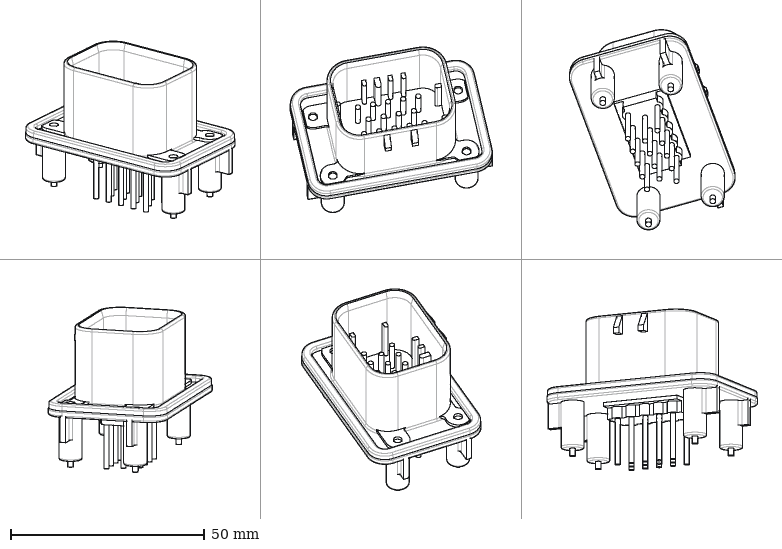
import cadquery as cq
import math

FLANGE_LENGTH = 48.8
FLANGE_WIDTH = 32.1
FLANGE_CORNER = 5.0
FLANGE_TOP = 3.5
LOWER_TIER_TOP = 1.95
UPPER_TIER_INSET = 0.15
FLANGE_ROUND = 0.5

RIM_WIDTH = 2.7
RECESS_FLOOR = 2.0

SHROUD_LENGTH = 31.5
SHROUD_WIDTH = 23.5
SHROUD_CORNER = 6.2
SHROUD_TOP = 22.0
SHROUD_WALL = 1.55
SHROUD_TOP_ROUND = 0.6
SHROUD_BASE_ROUND = 0.5
CAVITY_FLOOR = RECESS_FLOOR
CAVITY_LENGTH = SHROUD_LENGTH - 2 * SHROUD_WALL
CAVITY_WIDTH = SHROUD_WIDTH - 2 * SHROUD_WALL
LEAD_IN_WIDTH = 0.6
LEAD_IN_DEPTH = 2.0

LATCH_X = 3.6
LATCH_THICKNESS = 1.6
LATCH_REACH = 2.05
LATCH_BOTTOM = 16.5
LATCH_FRONT_TOP = 18.0
LATCH_TOP = 21.4

RIB_TOP = 12.0
RIB_LENGTH = 1.7
RIB_THICKNESS = 1.1
LONG_RIB_LENGTH = 2.9
LONG_RIB_THICKNESS = 1.5
SIDE_RIB_Y = 4.7
SHORT_RIB_X = (-5.2, -1.75, 5.2)
LONG_RIB_X = 1.75

PIN_DIAMETER = 1.35
PIN_PITCH = 4.0
ROW_PITCH = 4.0
OUTER_ROW_COUNT = 5
MIDDLE_ROW_COUNT = 4
PIN_TOP = 9.6
PIN_BOTTOM = -16.05

CARRIER_LENGTH = 21.3
CARRIER_PLATE_WIDTH = 14.0
CARRIER_PLATE_BOTTOM = -1.0
CARRIER_WIDTH = 9.0
CARRIER_BOTTOM = -4.0
SLEEVE_RADIUS = 1.5

FRONT_POST = (19.2, -7.25)
BACK_POST = (17.7, 10.75)
POST_RADIUS = 3.0
POST_BOTTOM = -12.25
POST_ROUND = 0.5
PEG_DIAMETER = 1.5
PEG_BOTTOM = -14.15

WEB_BOTTOM = -6.5
WEB_THICKNESS = 1.5
WEB_BLEND = 1.0

PAD_HEIGHT = 0.8
PAD_TOP = RECESS_FLOOR + PAD_HEIGHT
PAD_RADIUS = 3.25
PAD_CLEARANCE = 0.35
PAD_HOLE_DIAMETER = 2.25
BACK_PAD_STEP_START = 15.3
BACK_PAD_STEP_END = 14.2
PAD_BLEND = 0.6
BACK_PAD_BLEND = 1.0


def rounded_block(length, width, corner, bottom, top):
    """Upright block, centred on the Z axis, with rounded vertical edges."""
    block = cq.Workplane("XY").workplane(offset=bottom).rect(length, width).extrude(top - bottom)
    return block.edges("|Z").fillet(corner)


def box_between(x_range, y_range, z_range):
    """Box spanning the given (low, high) ranges."""
    sizes = [high - low for low, high in (x_range, y_range, z_range)]
    corner = (x_range[0], y_range[0], z_range[0])
    return cq.Workplane("XY").box(*sizes, centered=False).translate(corner)


def rod(center, radius, bottom, top):
    """Upright cylinder."""
    return cq.Workplane("XY").workplane(offset=bottom).center(*center).circle(radius).extrude(top - bottom)


def with_mirror(body):
    """Body together with its mirror image across the YZ plane."""
    return body.union(body.mirror("YZ"))


def fillet_upright_edge(body, point, bottom, top, radius):
    """Round the upright edge nearest to a point in plan."""
    nearest = cq.selectors.NearestToPointSelector((*point, (bottom + top) / 2))
    return body.edges("|Z").edges(nearest).fillet(radius)


def recess_block(clearance, bottom, top):
    """Block with the recess outline, drawn in by a clearance."""
    inset = RIM_WIDTH + clearance
    length = FLANGE_LENGTH - 2 * inset
    width = FLANGE_WIDTH - 2 * inset
    return rounded_block(length, width, FLANGE_CORNER - inset, bottom, top)


def make_flange():
    lower = rounded_block(FLANGE_LENGTH, FLANGE_WIDTH, FLANGE_CORNER, 0, LOWER_TIER_TOP)
    lower = lower.faces("<Z or >Z").edges().fillet(FLANGE_ROUND)
    upper = rounded_block(
        FLANGE_LENGTH - 2 * UPPER_TIER_INSET,
        FLANGE_WIDTH - 2 * UPPER_TIER_INSET,
        FLANGE_CORNER - UPPER_TIER_INSET,
        FLANGE_ROUND,
        FLANGE_TOP,
    )
    flange = lower.union(upper).cut(recess_block(0, RECESS_FLOOR, FLANGE_TOP))
    return flange.faces(">Z").edges().fillet(FLANGE_ROUND)


def make_shroud():
    shroud = rounded_block(SHROUD_LENGTH, SHROUD_WIDTH, SHROUD_CORNER, FLANGE_ROUND, SHROUD_TOP)
    return shroud.faces(">Z").edges().fillet(SHROUD_TOP_ROUND)


def round_shroud_base(body):
    """Concave round where the shroud meets the recess floor."""
    reach_x = SHROUD_LENGTH / 2 + SHROUD_BASE_ROUND
    reach_y = SHROUD_WIDTH / 2 + SHROUD_BASE_ROUND
    low = (-reach_x, -reach_y, RECESS_FLOOR - SHROUD_BASE_ROUND)
    high = (reach_x, reach_y, RECESS_FLOOR + SHROUD_BASE_ROUND)
    return body.edges(cq.selectors.BoxSelector(low, high)).fillet(SHROUD_BASE_ROUND)


def make_cavity():
    """Space inside the shroud, flared at the mouth."""
    corner = SHROUD_CORNER - SHROUD_WALL
    cavity = rounded_block(CAVITY_LENGTH, CAVITY_WIDTH, corner, CAVITY_FLOOR, SHROUD_TOP)
    mouth_outline = cq.Sketch().rect(CAVITY_LENGTH + 2 * LEAD_IN_WIDTH, CAVITY_WIDTH + 2 * LEAD_IN_WIDTH)
    mouth_outline = mouth_outline.vertices().fillet(corner + LEAD_IN_WIDTH)
    flare_angle = math.degrees(math.atan2(LEAD_IN_WIDTH, LEAD_IN_DEPTH))
    mouth = cq.Workplane("XY").workplane(offset=SHROUD_TOP).placeSketch(mouth_outline)
    return cavity.union(mouth.extrude(-LEAD_IN_DEPTH, taper=flare_angle))


def make_latches():
    face_y = SHROUD_WIDTH / 2
    root_y = face_y - SHROUD_TOP_ROUND
    profile = [
        (root_y, LATCH_BOTTOM),
        (face_y + LATCH_REACH, LATCH_BOTTOM),
        (face_y + LATCH_REACH, LATCH_FRONT_TOP),
        (face_y, LATCH_TOP),
        (root_y, LATCH_TOP),
    ]
    ramp = cq.Workplane("YZ").polyline(profile).close().extrude(LATCH_THICKNESS / 2, both=True)
    return with_mirror(ramp.translate((LATCH_X, 0, 0)))


def make_rib(length, thickness):
    """Round-nosed rib that runs along +X from a root at the origin."""
    nose = rod((length - thickness / 2, 0), thickness / 2, CAVITY_FLOOR, RIB_TOP)
    x_range = (-SHROUD_WALL / 2, length - thickness / 2)
    y_range = (-thickness / 2, thickness / 2)
    return nose.union(box_between(x_range, y_range, (CAVITY_FLOOR, RIB_TOP)))


def make_ribs():
    short_rib = make_rib(RIB_LENGTH, RIB_THICKNESS)
    long_rib = make_rib(LONG_RIB_LENGTH, LONG_RIB_THICKNESS)
    ribs = cq.Workplane("XY")
    for side in (-1, 1):
        facing_in = -90 * side
        wall_y = side * CAVITY_WIDTH / 2
        for x in SHORT_RIB_X:
            ribs = ribs.add(short_rib.rotate((0, 0, 0), (0, 0, 1), facing_in).translate((x, wall_y, 0)))
        ribs = ribs.add(long_rib.rotate((0, 0, 0), (0, 0, 1), facing_in).translate((LONG_RIB_X, wall_y, 0)))
        end_rib = short_rib.translate((-CAVITY_LENGTH / 2, side * SIDE_RIB_Y, 0))
        ribs = ribs.add(end_rib).add(end_rib.mirror("YZ"))
    return ribs.combine()


def row_points(count, y):
    """Pin positions of one row, centred on x = 0."""
    start = -(count - 1) * PIN_PITCH / 2
    return [(start + i * PIN_PITCH, y) for i in range(count)]


def make_carrier():
    half_length = CARRIER_LENGTH / 2
    x_range = (-half_length, half_length)
    plate_y = (-CARRIER_PLATE_WIDTH / 2, CARRIER_PLATE_WIDTH / 2)
    block_y = (-CARRIER_WIDTH / 2, CARRIER_WIDTH / 2)
    carrier = box_between(x_range, plate_y, (CARRIER_PLATE_BOTTOM, FLANGE_ROUND))
    carrier = carrier.union(box_between(x_range, block_y, (CARRIER_BOTTOM, FLANGE_ROUND)))
    for point in OUTER_PINS:
        carrier = carrier.union(rod(point, SLEEVE_RADIUS, CARRIER_BOTTOM, CARRIER_PLATE_BOTTOM))
    return carrier


def make_pins():
    pins = cq.Workplane("XY").workplane(offset=PIN_BOTTOM).pushPoints(OUTER_PINS + MIDDLE_PINS)
    return pins.circle(PIN_DIAMETER / 2).extrude(PIN_TOP - PIN_BOTTOM)


def make_post(center):
    """Post with its locating peg and its web to the end of the flange."""
    x, y = center
    post = rod(center, POST_RADIUS, POST_BOTTOM, FLANGE_ROUND)
    post = post.faces("<Z").edges().fillet(POST_ROUND)
    peg = rod(center, PEG_DIAMETER / 2, PEG_BOTTOM, POST_BOTTOM + POST_ROUND)
    y_range = (y - WEB_THICKNESS / 2, y + WEB_THICKNESS / 2)
    web = box_between((x, FLANGE_LENGTH / 2), y_range, (WEB_BOTTOM, FLANGE_ROUND))
    core = rod(center, POST_RADIUS, WEB_BOTTOM, FLANGE_ROUND)
    joint_x = x + math.sqrt(POST_RADIUS**2 - (WEB_THICKNESS / 2) ** 2)
    web = web.union(core)
    for joint_y in y_range:
        web = fillet_upright_edge(web, (joint_x, joint_y), WEB_BOTTOM, FLANGE_ROUND, WEB_BLEND)
    return with_mirror(post.union(peg).union(web))


def make_pad(center):
    """Round-ended pad that runs from over a post into the shroud wall."""
    x, y = center
    pad = rod(center, PAD_RADIUS, RECESS_FLOOR, PAD_TOP)
    y_range = (y - PAD_RADIUS, y + PAD_RADIUS)
    return pad.union(box_between((0, x), y_range, (RECESS_FLOOR, PAD_TOP)))


def make_back_pad_notch():
    """Material left off the back pad so that it narrows to the shroud face."""
    shroud_y = SHROUD_WIDTH / 2
    edge_y = FLANGE_WIDTH / 2 - RIM_WIDTH - PAD_CLEARANCE
    outer_y = FLANGE_WIDTH / 2
    outline = [
        (0, shroud_y),
        (BACK_PAD_STEP_END, shroud_y),
        (BACK_PAD_STEP_START, edge_y),
        (BACK_PAD_STEP_START, outer_y),
        (0, outer_y),
    ]
    notch = cq.Workplane("XY").workplane(offset=RECESS_FLOOR).polyline(outline).close().extrude(PAD_HEIGHT)
    return fillet_upright_edge(notch, (BACK_PAD_STEP_END, shroud_y), RECESS_FLOOR, PAD_TOP, PAD_BLEND)


def make_pads():
    """Pads blended into a core that matches the shroud outline."""
    core = rounded_block(SHROUD_LENGTH, SHROUD_WIDTH, SHROUD_CORNER, RECESS_FLOOR, PAD_TOP)
    back_pad = make_pad(BACK_POST).cut(make_back_pad_notch())
    pads = core.union(make_pad(FRONT_POST)).union(back_pad)
    joint_x = SHROUD_LENGTH / 2
    front_joint = (joint_x, FRONT_POST[1] + PAD_RADIUS)
    back_joint = (joint_x, BACK_POST[1] - PAD_RADIUS)
    pads = fillet_upright_edge(pads, front_joint, RECESS_FLOOR, PAD_TOP, PAD_BLEND)
    pads = fillet_upright_edge(pads, back_joint, RECESS_FLOOR, PAD_TOP, BACK_PAD_BLEND)
    pads = with_mirror(pads)
    return pads.intersect(recess_block(PAD_CLEARANCE, RECESS_FLOOR, PAD_TOP))


def make_pad_hole(center):
    return with_mirror(rod(center, PAD_HOLE_DIAMETER / 2, RECESS_FLOOR, PAD_TOP))


OUTER_PINS = row_points(OUTER_ROW_COUNT, -ROW_PITCH) + row_points(OUTER_ROW_COUNT, ROW_PITCH)
MIDDLE_PINS = row_points(MIDDLE_ROW_COUNT, 0)

housing = round_shroud_base(make_flange().union(make_shroud()))
housing = housing.union(make_latches()).union(make_pads()).cut(make_cavity())
for post_center in (FRONT_POST, BACK_POST):
    housing = housing.union(make_post(post_center)).cut(make_pad_hole(post_center))

result = housing.union(make_ribs()).union(make_carrier()).union(make_pins())